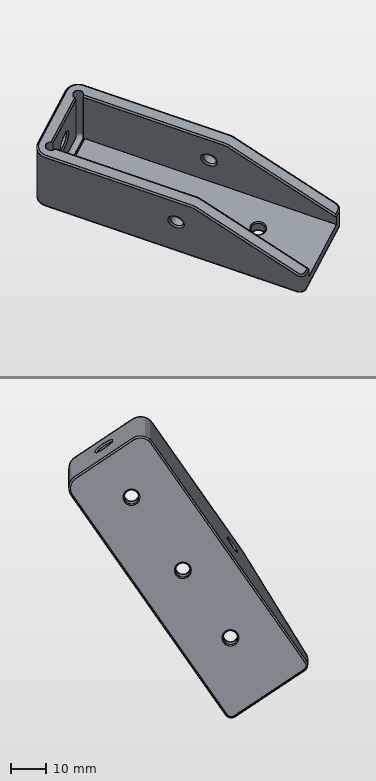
import cadquery as cq

length = 84.0
width = 28.0
height = 24.0
wall = 4.0
floor = 4.0
back_corner_radius = 4.0
front_corner_radius = 2.0
edge_chamfer = 0.5

slope_start = 50.0
front_height = 8.0
bend_radius = 4.0

relief_radius = 1.5

screw_diameter = 4.1
end_hole_diameter = 5.2
floor_hole_chamfer = 0.3
floor_hole_positions = (14.0, 40.0, 64.0)
side_hole_x = 44.5
cross_hole_height = 14.0

half_inner_width = width / 2 - wall


def make_block():
    """Solid block with the sloped top and rounded upright corners."""
    profile = (
        cq.Workplane("XZ")
        .polyline([(0, 0), (length, 0), (length, front_height), (slope_start, height), (0, height)])
        .close()
        .extrude(width / 2, both=True)
    )
    bend = cq.NearestToPointSelector((slope_start, 0, height))
    block = profile.edges(bend).fillet(bend_radius)
    block = block.edges("|Z and <X").fillet(back_corner_radius)
    return block.edges("|Z and >X").fillet(front_corner_radius)


def cut_channel(block):
    """Channel between the side walls, open at the top and at X = length."""
    channel = cq.Workplane("XY").box(
        length, 2 * half_inner_width, height, centered=(False, True, False)
    )
    return block.cut(channel.translate((wall, 0, floor)))


def chamfer_rims(body):
    """Chamfer the whole rim of the walls and the outline of the underside."""
    rim_faces = [
        face for face in body.faces().vals()
        if face.normalAt().z > 0.1 and face.Center().z > floor + edge_chamfer
    ]
    edges = [edge for face in rim_faces for edge in face.Edges()]
    rim = [edge for edge in edges if sum(edge.isSame(other) for other in edges) == 1]
    body = body.newObject(rim).chamfer(edge_chamfer)
    return body.faces("<Z").edges().chamfer(edge_chamfer)


def cut_reliefs(body):
    """Round reliefs in the upright corners, joined by a groove along the floor."""
    groove = (
        cq.Workplane("XZ", origin=(wall, 0, floor))
        .circle(relief_radius)
        .extrude(half_inner_width, both=True)
    )
    body = body.cut(groove)

    groove_edge_x = wall + relief_radius
    groove_edge = (
        cq.Workplane("XZ")
        .moveTo(groove_edge_x, floor)
        .lineTo(groove_edge_x + edge_chamfer, floor)
        .lineTo(groove_edge_x, floor - edge_chamfer)
        .lineTo(wall, floor - edge_chamfer)
        .lineTo(wall, floor)
        .close()
        .extrude(half_inner_width, both=True)
    )
    body = body.cut(groove_edge)

    for y in (-half_inner_width, half_inner_width):
        corner = cq.Workplane("XY", origin=(wall, y, floor))
        body = body.cut(corner.circle(relief_radius).extrude(height))
        body = body.cut(corner.sphere(relief_radius))
    return body


def chamfered_hole(start, direction, depth, diameter, chamfer=edge_chamfer):
    """Cutter for a through hole with a chamfer at both mouths."""
    radius = diameter / 2
    mouth = radius + chamfer
    cutter = (
        cq.Workplane("XZ")
        .polyline([
            (0, 0), (mouth, 0), (radius, chamfer),
            (radius, depth - chamfer), (mouth, depth), (0, depth),
        ])
        .close()
        .revolve(360, (0, 0, 0), (0, 1, 0))
    )
    plane = cq.Plane(origin=start, normal=direction)
    return cutter.val().moved(cq.Location(plane))


def cut_holes(body):
    """Floor holes, one hole in each side wall and one in the closed end."""
    for x in floor_hole_positions:
        start = (x, 0, 0)
        hole = chamfered_hole(start, (0, 0, 1), floor, screw_diameter, floor_hole_chamfer)
        body = body.cut(hole)
    for y in (-width / 2, half_inner_width):
        start = (side_hole_x, y, cross_hole_height)
        body = body.cut(chamfered_hole(start, (0, 1, 0), wall, screw_diameter))
    end_start = (0, 0, cross_hole_height)
    return body.cut(chamfered_hole(end_start, (1, 0, 0), wall, end_hole_diameter))


result = cut_holes(cut_reliefs(chamfer_rims(cut_channel(make_block()))))